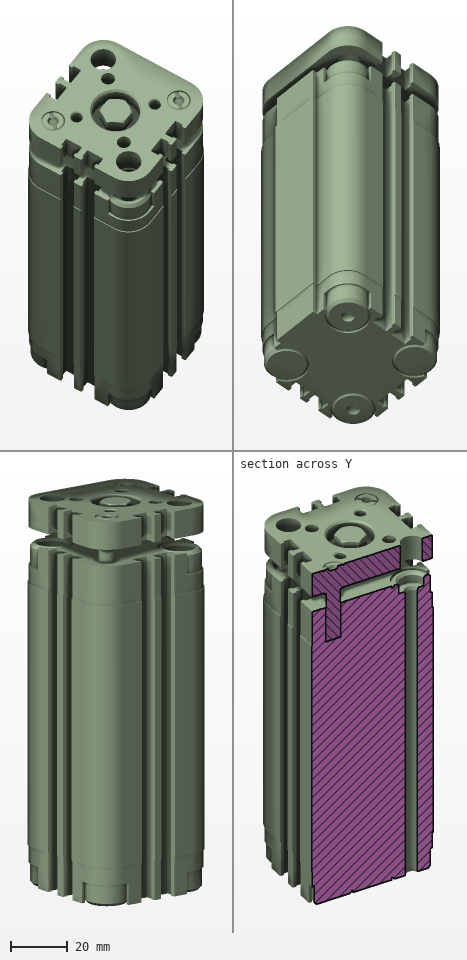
import cadquery as cq
import math

total_height = 140.5
plate_thickness = 10.0
plate_gap = 6.0
housing_height = total_height - plate_thickness - plate_gap
plate_bottom = housing_height + plate_gap

tube_width = 50.0
cap_setback = 0.3
cap_width = tube_width - 2 * cap_setback
cap_height = 14.5
corner_pitch = 32.0
corner_radius = 9.1
corner_place = corner_pitch / 2

rail_width = 19.4
total_depth = 52.0
rail_height = total_depth - tube_width

slot_floor = 20.0
slot_lip_inside = 23.2
slot_near, slot_far = 1.1, 7.9
mouth_near, mouth_far = 1.7, 7.0
mouth_chamfer = 0.3
slot_floor_fillet = 0.4

boss_diameter = 16.0
boss_height = 8.0
boss_chamfer = 1.1
notch_edge = 12.9

screw_hole_diameter = 4.9
countersink_diameter = 6.0
countersink_depth = 1.4
counterbore_diameter = 10.1
counterbore_rim_diameter = 12.0
counterbore_depth = 4.2

pin_diameter = 6.0
pin_depth = cap_height
bushing_recess_diameter = 9.5
bushing_recess_depth = 0.1
collar_diameter = 8.0
collar_height = 0.4
head_diameter = 8.5
head_chamfer = 0.5
head_hole_diameter = 4.1
head_hole_floor_diameter = 3.2
head_hole_depth = 1.1
driver_slot_width = 1.4
driver_slot_depth = 0.8
driver_slot_angle = -45

rod_diameter = 12.0
rod_depth = cap_height
rod_flats = 10.0
rod_flat_start = 0.8
rod_rise = 0.4
hex_flats = 10.1
hex_chamfer_angle = 30
recess_diameter = 17.0
recess_depth = 6.0
recess_chamfer = 0.7

access_hole_diameter = 9.0
fixing_place = 10.0
fixing_hole_diameter = 4.9
thread_hole_diameter = 4.1

screw_corners = [(-corner_place, corner_place), (corner_place, -corner_place)]
pin_corners = [(-corner_place, -corner_place), (corner_place, corner_place)]


def cylinder(diameter, bottom, top, place=(0, 0)):
    """Upright cylinder at the given place between two heights."""
    return (
        cq.Workplane("XY", origin=(place[0], place[1], bottom))
        .circle(diameter / 2)
        .extrude(top - bottom)
    )


def cone(bottom_diameter, top_diameter, bottom, top, place):
    """Upright cone frustum at the given place between two heights."""
    height = top - bottom
    base = cq.Vector(place[0], place[1], bottom)
    return cq.Workplane("XY").add(
        cq.Solid.makeCone(bottom_diameter / 2, top_diameter / 2, height, base)
    )


def box(x_range, y_range, z_range):
    """Box spanning the given ranges."""
    return cq.Workplane("XY").box(
        x_range[1] - x_range[0], y_range[1] - y_range[0], z_range[1] - z_range[0], centered=False
    ).translate((x_range[0], y_range[0], z_range[0]))


def t_slots(width):
    """Cutter for the slot pairs of a block of the given width, over the full height."""
    face = width / 2
    mouth_middle = (mouth_near + mouth_far) / 2
    cavity_middle = (slot_near + slot_far) / 2
    cavity = (
        cq.Workplane("XY")
        .center(cavity_middle, -(slot_floor + slot_lip_inside) / 2)
        .rect(slot_far - slot_near, slot_lip_inside - slot_floor)
        .extrude(total_height)
        .edges("|Z and >Y")
        .fillet(slot_floor_fillet)
    )
    half_mouth = (mouth_far - mouth_near) / 2
    half_opening = half_mouth + mouth_chamfer
    mouth = (
        cq.Workplane("XY")
        .center(mouth_middle, 0)
        .polyline([
            (-half_mouth, -slot_lip_inside),
            (-half_mouth, mouth_chamfer - face),
            (-half_opening, -face),
            (half_opening, -face),
            (half_mouth, mouth_chamfer - face),
            (half_mouth, -slot_lip_inside),
        ])
        .close()
        .extrude(total_height)
    )
    slot = cavity.union(mouth)
    pair = slot.union(slot.mirror("YZ"))
    cutter = pair
    for angle in (-90, 90):
        cutter = cutter.union(pair.rotate((0, 0, 0), (0, 0, 1), angle))
    return cutter


def slotted_block(width, bottom, top):
    """Slotted square block with rounded vertical edges."""
    block = box((-width / 2, width / 2), (-width / 2, width / 2), (bottom, top))
    return block.edges("|Z").fillet(corner_radius).cut(t_slots(width))


def railed_block(width, setback, bottom, top):
    """Slotted block with the rail on its +Y face."""
    half_rail = rail_width / 2 - setback
    rail = box((-half_rail, half_rail), (slot_floor, width / 2 + rail_height), (bottom, top))
    return slotted_block(width, bottom, top).union(rail)


def corner_boss_cutter(place, at_top):
    """Material around a corner boss: a square notch and the ring left by the boss chamfer."""
    x_side = math.copysign(1, place[0])
    y_side = math.copysign(1, place[1])
    far = tube_width
    notch = box(
        sorted((x_side * notch_edge, x_side * far)),
        sorted((y_side * notch_edge, y_side * far)),
        (0, boss_height),
    )
    chamfer_ring = cylinder(boss_diameter, 0, boss_chamfer, place)
    straight = cylinder(boss_diameter, boss_chamfer, boss_height, place)
    tip = cone(boss_diameter - 2 * boss_chamfer, boss_diameter, 0, boss_chamfer, place)
    boss = straight.union(tip)
    cutter = notch.union(chamfer_ring).cut(boss)
    if at_top:
        middle = housing_height / 2
        cutter = cutter.mirror("XY", (0, 0, middle))
    return cutter


def make_housing():
    """Tube with an end cap at each end."""
    tube_top = housing_height - cap_height
    body = railed_block(tube_width, 0, cap_height, tube_top)
    body = body.union(railed_block(cap_width, cap_setback, 0, cap_height))
    body = body.union(railed_block(cap_width, cap_setback, tube_top, housing_height))

    for place in screw_corners + pin_corners:
        body = body.cut(corner_boss_cutter(place, at_top=False))

    counterbore_floor = housing_height - counterbore_depth
    rim_depth = (counterbore_rim_diameter - counterbore_diameter) / 2
    for place in screw_corners:
        body = body.cut(corner_boss_cutter(place, at_top=True))
        body = body.cut(cylinder(screw_hole_diameter, 0, housing_height, place))
        body = body.cut(cylinder(counterbore_diameter, counterbore_floor, housing_height, place))
        body = body.cut(
            cone(
                screw_hole_diameter,
                countersink_diameter,
                counterbore_floor - countersink_depth,
                counterbore_floor,
                place,
            )
        )
        body = body.cut(
            cone(
                counterbore_diameter,
                counterbore_rim_diameter,
                housing_height - rim_depth,
                housing_height,
                place,
            )
        )

    for place in pin_corners:
        body = body.cut(cylinder(pin_diameter, housing_height - pin_depth, housing_height, place))
        recess_floor = housing_height - bushing_recess_depth
        body = body.cut(cylinder(bushing_recess_diameter, recess_floor, housing_height, place))
    return body.cut(cylinder(rod_diameter, housing_height - rod_depth, housing_height))


def make_plate():
    """Front plate with its screw recess, access holes and fixing holes."""
    plate = slotted_block(cap_width, plate_bottom, total_height)
    plate = plate.cut(cylinder(recess_diameter, total_height - recess_depth, total_height))
    rim_diameter = recess_diameter + 2 * recess_chamfer
    plate = plate.cut(
        cone(recess_diameter, rim_diameter, total_height - recess_chamfer, total_height, (0, 0))
    )
    for place in screw_corners:
        plate = plate.cut(cylinder(access_hole_diameter, plate_bottom, total_height, place))

    thread_chamfer = (fixing_hole_diameter - thread_hole_diameter) / 2
    for side in (-1, 1):
        plain = (side * fixing_place, -side * fixing_place)
        plate = plate.cut(cylinder(fixing_hole_diameter, plate_bottom, total_height, plain))
        threaded = (side * fixing_place, side * fixing_place)
        plate = plate.cut(cylinder(thread_hole_diameter, plate_bottom, total_height, threaded))
        plate = plate.cut(
            cone(
                thread_hole_diameter,
                fixing_hole_diameter,
                total_height - thread_chamfer,
                total_height,
                threaded,
            )
        )
    return plate


def make_rod():
    """Piston rod with wrench flats and a chamfered hexagon head on its end."""
    rod_top = total_height - recess_depth + rod_rise
    rod = cylinder(rod_diameter, housing_height - rod_depth, rod_top)
    flat_bottom = housing_height + rod_flat_start
    for side in (-1, 1):
        waste_y = sorted((side * rod_flats / 2, side * rod_diameter))
        rod = rod.cut(box((-rod_diameter, rod_diameter), waste_y, (flat_bottom, plate_bottom)))

    sides = 6
    half_side_angle = 180 / sides
    head_height = total_height - rod_top
    head = (
        cq.Workplane("XY", origin=(0, 0, rod_top))
        .polygon(sides, hex_flats / math.cos(math.radians(half_side_angle)))
        .extrude(head_height)
        .rotate((0, 0, 0), (0, 0, 1), half_side_angle)
    )
    cone_spread = head_height / math.tan(math.radians(hex_chamfer_angle))
    trim = cone(hex_flats + 2 * cone_spread, hex_flats, rod_top, total_height, (0, 0))
    return rod.union(head.intersect(trim))


def add_guide_pin(body, place):
    """Guide pin with a collar below the plate and a slotted, hollow head in the plate."""
    body = body.union(cylinder(pin_diameter, housing_height - pin_depth, plate_bottom, place))
    body = body.union(cylinder(collar_diameter, plate_bottom - collar_height, plate_bottom, place))

    groove_floor = total_height - head_chamfer
    groove = cylinder(head_diameter, groove_floor, total_height, place)
    rim_diameter = head_diameter - 2 * head_chamfer
    groove = groove.cut(cone(head_diameter, rim_diameter, groove_floor, total_height, place))
    hole_floor = total_height - head_hole_depth
    head_hole = cone(head_hole_floor_diameter, head_hole_diameter, hole_floor, total_height, place)
    driver_slot = (
        cq.Workplane("XY", origin=(place[0], place[1], total_height - driver_slot_depth))
        .transformed(rotate=(0, 0, driver_slot_angle))
        .rect(head_diameter, driver_slot_width)
        .extrude(driver_slot_depth)
    )
    return body.cut(groove).cut(head_hole).cut(driver_slot)


def make_slide():
    """Moving part: plate, piston rod and guide pins."""
    slide = make_plate().union(make_rod())
    for place in pin_corners:
        slide = add_guide_pin(slide, place)
    return slide


housing = make_housing()
slide = make_slide()

result = cq.Compound.makeCompound([housing.val(), slide.val()])